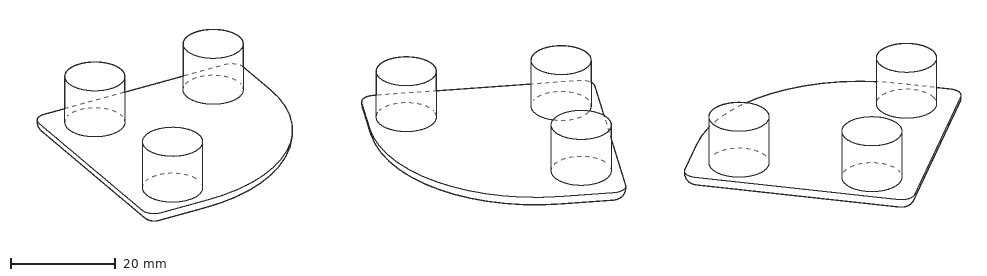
import cadquery as cq

side = 45.0
plate_thickness = 2.5
corner_radius = 2.6
large_corner_radius = 32.0
bottom_edge_radius = 2.1

peg_diameter = 11.5
peg_height = 10.0
peg_left_x = 7.55
peg_right_x = side - peg_left_x
peg_front_y = 9.5
peg_back_y = side - peg_front_y
peg_centers = [
    (peg_left_x, peg_front_y),
    (peg_right_x, peg_front_y),
    (peg_left_x, peg_back_y),
]


def make_plate():
    """Plate with its lower left corner at the origin and a rounded bottom edge."""
    arc_start = side - large_corner_radius
    plate = (
        cq.Workplane("XY")
        .lineTo(side, 0)
        .lineTo(side, arc_start)
        .radiusArc((arc_start, side), -large_corner_radius)
        .lineTo(0, side)
        .close()
        .extrude(plate_thickness)
    )
    small_corners = plate.edges("|Z").edges("<X or <Y")
    plate = small_corners.fillet(corner_radius)
    return plate.faces("<Z").edges().fillet(bottom_edge_radius)


def make_pegs():
    """Three round pegs rising from the plate's top face."""
    base = cq.Workplane("XY").workplane(offset=plate_thickness)
    return base.pushPoints(peg_centers).circle(peg_diameter / 2).extrude(peg_height)


result = make_plate().union(make_pegs())